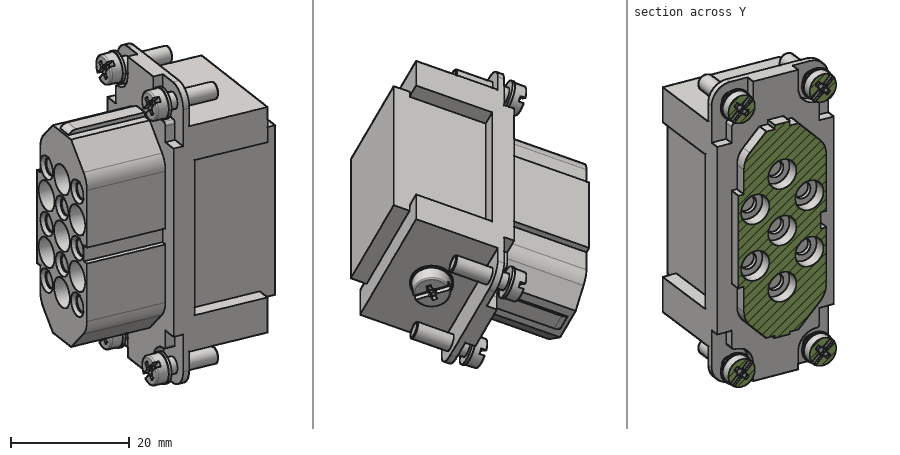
import cadquery as cq
import math


LENGTH = 56.3
WIDTH = 22.8
OVERALL_DEPTH = 36.2
FLANGE_THICKNESS = 3.05
FLANGE_CORNER_RADIUS = 3.6

SCREW_X = 7.95
SCREW_Z = 24.8
SEAT_DEPTH = 1.85
SEAT_RADIUS = 3.55
SEAT_ARM_X = 8.55
SEAT_ARM_Z = 17.6
SEAT_FILLET = 0.55
SHANK_DIAMETER = 3.05
SHANK_END_Y = 9.8
SHANK_CHAMFER = 0.15

WASHER_DIAMETER = 5.65
WASHER_HEIGHT = 0.5
HEAD_BASE = 5.4
HEAD_TOP = 5.25

GROUND_SCREW_Y = 10.1
GROUND_WASHER_DIAMETER = 7.3
GROUND_WASHER_HEIGHT = 0.3
GROUND_HEAD_BASE = 6.85
GROUND_HEAD_TOP = 6.25

HEAD_HEIGHT = 2.75
HEAD_FILLET = 0.3
SLOT_WIDTH = 0.95
SLOT_DEPTH = 1.0
SLOT_ANGLE = 45.0
CROSS_WIDTH = 0.8
CROSS_LENGTH = 3.15
RECESS_TOP = 1.75
RECESS_BOTTOM = 1.35
RECESS_DEPTH = 1.45

BODY_HEIGHT = 42.2
BODY_BACK_Y = 18.15
REAR_WIDTH = 17.45
REAR_HEIGHT = 31.75
REAR_BACK_Y = 21.05
SIDE_POCKET_HEIGHT = 29.05
SIDE_POCKET_Y = 4.05

NOSE_LENGTH = OVERALL_DEPTH - REAR_BACK_Y
NOSE_HALF_HEIGHT = 19.4
NOSE_TOP_HALF_WIDTH = 3.15
NOSE_LEFT_X = -7.55
NOSE_RIGHT_X = 8.6
NOSE_BLEND_RADIUS = 4.05
PAD_HEIGHT = 17.45
NOTCH_DEPTH = 1.0
NOTCH_HEIGHT = 3.0
RIB_WIDTH = 3.0
RIB_TOP_Z = 20.2
RIB_BOTTOM_Z = 19.9
RIB_NOSE_RADIUS = 1.7
RIB_ROUND_START = 1.9

CONTACT_PITCH = 5.3
CONTACT_COLUMNS = 3
CONTACT_ROWS = 5
CONTACT_DIAMETER = 3.05
SHALLOW_DEPTH = 0.85
LEAD_IN_DIAMETER = 4.3
LEAD_IN_DEPTH = 0.6
DEEP_BORE_DIAMETER = 5.4
DEEP_BORE_DEPTH = NOSE_LENGTH
DEEP_CONTACT_DEPTH = DEEP_BORE_DEPTH + SHALLOW_DEPTH


def facing_back(y):
    """Sketch plane at the given Y with local axes X and Z; extrude(-d) goes toward +Y."""
    return cq.Workplane("XZ", origin=(0, y, 0))


def block(x_range, y_range, z_range):
    """Axis-aligned box from its limits along each axis."""
    sizes = [high - low for low, high in (x_range, y_range, z_range)]
    corner = (x_range[0], y_range[0], z_range[0])
    return cq.Workplane("XY").box(*sizes, centered=False).translate(corner)


def corner_seat():
    """Seat cutter for the +X +Z corner: round end, open to the top and side, with a side arm."""
    inner_x = SCREW_X - SEAT_RADIUS
    side_x = WIDTH / 2
    round_end_z = SCREW_Z - SEAT_RADIUS
    diagonal = SEAT_RADIUS * math.sqrt(0.5)
    return (
        facing_back(0)
        .moveTo(inner_x, LENGTH / 2)
        .lineTo(inner_x, SCREW_Z)
        .threePointArc((SCREW_X - diagonal, SCREW_Z - diagonal), (SCREW_X, round_end_z))
        .lineTo(SEAT_ARM_X - SEAT_FILLET, round_end_z)
        .radiusArc((SEAT_ARM_X, round_end_z - SEAT_FILLET), SEAT_FILLET)
        .lineTo(SEAT_ARM_X, SEAT_ARM_Z)
        .lineTo(side_x, SEAT_ARM_Z)
        .lineTo(side_x, LENGTH / 2)
        .close()
        .extrude(-SEAT_DEPTH)
    )


def make_flange():
    flange = facing_back(0).rect(WIDTH, LENGTH).extrude(-FLANGE_THICKNESS)
    flange = flange.edges("|Y").fillet(FLANGE_CORNER_RADIUS)
    upper_right = corner_seat()
    upper_pair = upper_right.union(upper_right.mirror("YZ"))
    return flange.cut(upper_pair).cut(upper_pair.mirror("XY"))


def make_body():
    body = facing_back(FLANGE_THICKNESS).rect(WIDTH, BODY_HEIGHT).extrude(FLANGE_THICKNESS - BODY_BACK_Y)
    rear = facing_back(FLANGE_THICKNESS).rect(REAR_WIDTH, REAR_HEIGHT).extrude(FLANGE_THICKNESS - REAR_BACK_Y)
    pocket = facing_back(SIDE_POCKET_Y).rect(WIDTH, SIDE_POCKET_HEIGHT).extrude(SIDE_POCKET_Y - BODY_BACK_Y)
    return body.cut(pocket).union(rear)


def make_nose():
    left_corner_z = NOSE_HALF_HEIGHT - (-NOSE_LEFT_X - NOSE_TOP_HALF_WIDTH)
    right_corner_z = NOSE_HALF_HEIGHT - (NOSE_RIGHT_X - NOSE_TOP_HALF_WIDTH)
    upper = [
        (NOSE_LEFT_X, left_corner_z),
        (-NOSE_TOP_HALF_WIDTH, NOSE_HALF_HEIGHT),
        (NOSE_TOP_HALF_WIDTH, NOSE_HALF_HEIGHT),
        (NOSE_RIGHT_X, right_corner_z),
    ]
    lower = [(x, -z) for x, z in reversed(upper)]
    nose = facing_back(0).polyline(upper + lower).close().extrude(NOSE_LENGTH)
    nose = nose.edges("|Y and (<X or >X)").fillet(NOSE_BLEND_RADIUS)

    along = (-NOSE_LENGTH, 0)
    pad = block((-NOSE_RIGHT_X, 0), along, (-PAD_HEIGHT / 2, PAD_HEIGHT / 2))
    notch = block(
        (NOSE_RIGHT_X - NOTCH_DEPTH, NOSE_RIGHT_X),
        along,
        (-NOTCH_HEIGHT / 2, NOTCH_HEIGHT / 2),
    )
    bottom_rib = key_rib(RIB_BOTTOM_Z).mirror("XY")
    return nose.union(pad).cut(notch).union(key_rib(RIB_TOP_Z)).union(bottom_rib)


def key_rib(top_z):
    """Rib on the top of the nose; its front end rounds down into the nose surface."""
    drop = top_z - NOSE_HALF_HEIGHT
    run = math.sqrt(RIB_NOSE_RADIUS**2 - (RIB_NOSE_RADIUS - drop) ** 2)
    round_start_y = RIB_ROUND_START - NOSE_LENGTH
    front_y = round_start_y - run
    root_z = NOSE_HALF_HEIGHT - drop
    return (
        cq.Workplane("YZ")
        .moveTo(0, root_z)
        .lineTo(0, top_z)
        .lineTo(round_start_y, top_z)
        .radiusArc((front_y, NOSE_HALF_HEIGHT), -RIB_NOSE_RADIUS)
        .lineTo(front_y, root_z)
        .close()
        .extrude(RIB_WIDTH / 2, both=True)
    )


def nose_holes(positions, diameter, depth, taper=0):
    """Blind holes drilled from the front of the nose."""
    return (
        facing_back(-NOSE_LENGTH)
        .pushPoints(positions)
        .circle(diameter / 2)
        .extrude(-depth, taper=taper)
    )


def cut_contacts(part):
    """Shallow and deep contacts alternate over the grid, shallow ones in the corners."""
    shallow = []
    deep = []
    for column in range(CONTACT_COLUMNS):
        for row in range(CONTACT_ROWS):
            x = (column - (CONTACT_COLUMNS - 1) / 2) * CONTACT_PITCH
            z = (row - (CONTACT_ROWS - 1) / 2) * CONTACT_PITCH
            group = shallow if (column + row) % 2 == 0 else deep
            group.append((x, z))
    lead_in_step = (LEAD_IN_DIAMETER - CONTACT_DIAMETER) / 2
    lead_in_angle = math.degrees(math.atan(lead_in_step / LEAD_IN_DEPTH))
    part = part.cut(nose_holes(shallow, CONTACT_DIAMETER, SHALLOW_DEPTH))
    part = part.cut(nose_holes(shallow, LEAD_IN_DIAMETER, LEAD_IN_DEPTH, lead_in_angle))
    part = part.cut(nose_holes(deep, DEEP_BORE_DIAMETER, DEEP_BORE_DEPTH))
    return part.cut(nose_holes(deep, CONTACT_DIAMETER, DEEP_CONTACT_DEPTH))


def screw_head(washer_diameter, washer_height, base_diameter, top_diameter):
    """Washer and tapered head standing on Z = 0, with a diagonal slot and a cross recess."""
    washer = cq.Workplane("XY").circle(washer_diameter / 2).extrude(washer_height)
    taper = math.degrees(math.atan((base_diameter - top_diameter) / 2 / HEAD_HEIGHT))
    head = cq.Workplane("XY").circle(base_diameter / 2).extrude(HEAD_HEIGHT, taper=taper)
    head = head.faces(">Z").edges().fillet(HEAD_FILLET)

    top = cq.Workplane("XY", origin=(0, 0, HEAD_HEIGHT))
    slot = top.rect(washer_diameter, SLOT_WIDTH).extrude(-SLOT_DEPTH)
    cross = top.rect(CROSS_WIDTH, CROSS_LENGTH).extrude(-SLOT_DEPTH)
    recess_taper = math.degrees(math.atan((RECESS_TOP - RECESS_BOTTOM) / 2 / RECESS_DEPTH))
    recess = top.circle(RECESS_TOP / 2).extrude(-RECESS_DEPTH, taper=recess_taper)
    drive = slot.union(cross).union(recess).rotate((0, 0, 0), (0, 0, 1), SLOT_ANGLE)
    return washer.union(head).cut(drive)


def corner_screws():
    """Four flange screws, heads toward -Y."""
    head = screw_head(WASHER_DIAMETER, WASHER_HEIGHT, HEAD_BASE, HEAD_TOP).rotate((0, 0, 0), (1, 0, 0), 90)
    shank = facing_back(0).circle(SHANK_DIAMETER / 2).extrude(-SHANK_END_Y)
    shank = shank.faces(">Y").chamfer(SHANK_CHAMFER)
    screw = head.union(shank)
    return [screw.translate((x, 0, z)) for x in (-SCREW_X, SCREW_X) for z in (-SCREW_Z, SCREW_Z)]


def ground_screw():
    """Larger screw head hanging under the body."""
    head = screw_head(
        GROUND_WASHER_DIAMETER,
        GROUND_WASHER_HEIGHT,
        GROUND_HEAD_BASE,
        GROUND_HEAD_TOP,
    )
    head = head.rotate((0, 0, 0), (1, 1, 0), 180)
    return head.translate((0, GROUND_SCREW_Y, -BODY_HEIGHT / 2))


part = cut_contacts(make_flange().union(make_body()).union(make_nose()))
for screw in corner_screws() + [ground_screw()]:
    part = part.union(screw)
result = part